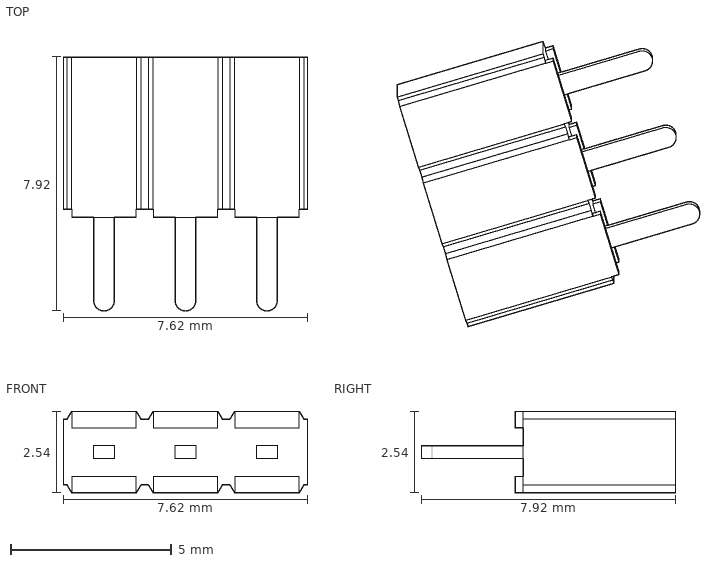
import cadquery as cq

pin_count = 3
total_length = 7.92
row_width = 7.62
height = 2.54
body_length = 4.75
standoff_length = 0.245
standoff_height = 0.515
land_width = 2.02
standoff_width = 2.0
groove_floor = 0.23
groove_depth = 0.245
pin_width = 0.65
pin_thickness = 0.4

pitch = row_width / pin_count
groove_mouth = pitch - land_width
tip_radius = pin_width / 2
pin_length = total_length - body_length
front_y = -total_length / 2 + pin_length
back_y = total_length / 2
pin_positions = [(i - (pin_count - 1) / 2) * pitch for i in range(pin_count)]
groove_positions = [(i - pin_count / 2) * pitch for i in range(pin_count + 1)]


def make_groove(x, side):
    """Trapezoidal groove along Y; side is +1 for the top, -1 for the bottom."""
    face_z = side * height / 2
    floor_z = face_z - side * groove_depth
    return (
        cq.Workplane("XZ", origin=(x, back_y, 0))
        .moveTo(-groove_mouth / 2, face_z)
        .lineTo(-groove_floor / 2, floor_z)
        .lineTo(groove_floor / 2, floor_z)
        .lineTo(groove_mouth / 2, face_z)
        .close()
        .extrude(body_length)
    )


def make_standoff(x, side):
    """Low block ahead of the front face, level with the top or bottom land."""
    z = side * (height - standoff_height) / 2
    return cq.Workplane("XY").box(standoff_width, standoff_length, standoff_height).translate(
        (x, front_y - standoff_length / 2, z)
    )


def make_pin(x):
    """Flat pin with a full-round tip, starting at the front face."""
    shoulder_y = front_y - pin_length + tip_radius
    return (
        cq.Workplane("XY", origin=(x, 0, -pin_thickness / 2))
        .moveTo(-tip_radius, front_y)
        .lineTo(-tip_radius, shoulder_y)
        .threePointArc((0, shoulder_y - tip_radius), (tip_radius, shoulder_y))
        .lineTo(tip_radius, front_y)
        .close()
        .extrude(pin_thickness)
    )


result = cq.Workplane("XY").box(row_width, body_length, height).translate(
    (0, (front_y + back_y) / 2, 0)
)
for side in (1, -1):
    for groove_x in groove_positions:
        result = result.cut(make_groove(groove_x, side))

for pin_x in pin_positions:
    result = result.union(make_pin(pin_x))
    for side in (1, -1):
        result = result.union(make_standoff(pin_x, side))